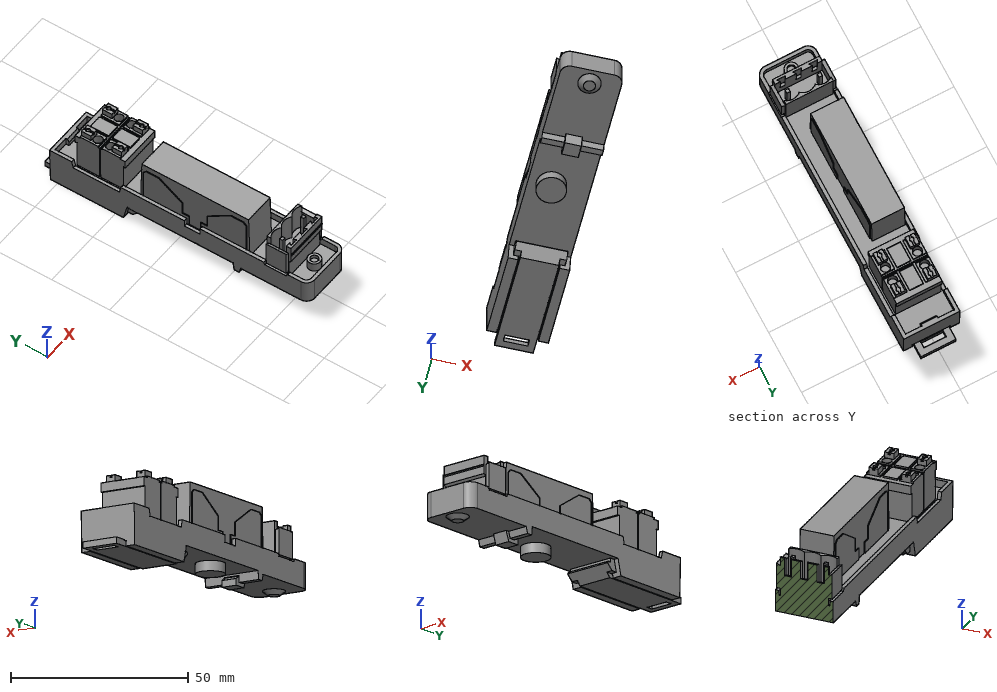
import cadquery as cq


WIDTH = 17.9
HALF_WIDTH = WIDTH / 2
TRAY_LENGTH = 89.64
TRAY_TOP = 12.0
REAR_DRAFT = 0.3
WALL = 1.15
FLOOR_Z = 9.65
MIDDLE_UNDERSIDE = 4.95
FRONT_UNDERSIDE = 4.35
CORNER_RADIUS = 2.8
INNER_CORNER_RADIUS = CORNER_RADIUS - WALL
FOOT_FRONT_BOTTOM = 64.1
FOOT_FRONT_TOP = 62.87

RIB_BOTTOM = 2.4
RIB_TOP_REAR = 26.2
RIB_BOTTOM_REAR = 25.9
RIB_BOTTOM_FRONT = 24.15
RIB_TOP_FRONT = 23.55

TERMINAL_NOTCH_Z = 9.8
TERMINAL_NOTCH_BOTTOM_Y = (65.5, 81.4)
TERMINAL_NOTCH_TOP_Y = (65.05, 81.97)
LATCH_NOTCH_Y = (37.7, 43.0)
LATCH_NOTCH_Z = TERMINAL_NOTCH_Z
CONNECTOR_NOTCH_Z = 11.2
CONNECTOR_NOTCH_BOTTOM_Y = (7.9, 15.3)
CONNECTOR_NOTCH_TOP_Y = (7.4, 15.6)

BUMP_WIDTH = 5.1
BUMP_TOP_DEPTH = 0.5
BUMP_DEPTH = 1.1
BUMP_NOSE_DROP = 1.0

TAB_END = 93.64
TAB_HALF_WIDTH = 5.6
TAB_THICKNESS = 1.85
TAB_OPENING_HALF_WIDTH = 3.55
TAB_BAR = 2.0
SLIDER_GAP = 0.45
SLIDER_GAP_HEIGHT = 1.6
HOOK_HALF_WIDTH = 7.5
HOOK_NECK_Z = 1.35
HOOK_TOE_Y = 63.2
HOOK_NOSE_Y = 60.05
HOOK_NOSE_Z = 3.25
HOOK_TOP_Z = 3.8
HOOK_TOP_FRONT = 60.4
HOOK_TOP_REAR = 61.3

FRONT_HOOK_WIDTH = 4.8
FRONT_HOOK_BOTTOM = 1.3
FRONT_HOOK_ROOT_Y = 22.45
FRONT_HOOK_TOE_Y = 23.55
FRONT_HOOK_NOSE_Y = 27.45
FRONT_HOOK_NOSE_TOP = 3.25
FRONT_HOOK_THROAT_Z = 4.15

BOSS_DIAMETER = 8.6
BOSS_X = -2.25
BOSS_Y = 40.4
BOSS_BOTTOM = 1.95

TERMINAL_HALF_WIDTH = 7.25
TERMINAL_Y = (65.35, 81.37)
TERMINAL_MID_Y = sum(TERMINAL_Y) / 2
TERMINAL_TOP = 21.4
LIP_BOTTOM = 18.75
LIP_OVERHANG = 0.68
BLOCK_GAP = 0.35
PAD_HEIGHT = 0.5
PAD_Y_FROM_MID = 0.65
PAD_LENGTH = 6.3
CENTRE_PAD_WIDTH = 4.4
SIDE_PAD_INNER_X = 2.95
CONTACT_X = 5.1
BUTTON_WIDTH = 2.9
BUTTON_LENGTH = 3.3
BUTTON_TOP = 23.7
BUTTON_SLOT_WIDTH = 0.6
BUTTON_SLOT_DEPTH = 0.6
BUTTON_HOLE_DIAMETER = 1.3
BUTTON_HOLE_FROM_END = 1.25
WIRE_HOLE_DIAMETER = 2.9
WIRE_HOLE_DEPTH = 3.0

RELAY_X = (-7.5, 3.0)
RELAY_TOP = 24.4
RELAY_MID_Y = 40.3
RELAY_TOP_LENGTH = 36.9
RELAY_BOTTOM_LENGTH = 37.8
HOLDER_THICKNESS = 0.28
HOLDER_HALF_LENGTH = 17.8
HOLDER_TOP = 22.5
HOLDER_CHAMFER = 1.0
HOLDER_SHOULDER = 12.5
LATCH_ARM_HALF_WIDTH = 4.3
LATCH_ARM_SLOPE_Z = 17.2
LATCH_ARM_BOTTOM = 13.15
LATCH_TONGUE_HALF_WIDTH = 2.0

CONNECTOR_HALF_WIDTH = 7.5
CONNECTOR_REAR = 15.5
CONNECTOR_FRONT = 7.85
CONNECTOR_TOP = 21.7
CONNECTOR_LIP = 0.65
CONNECTOR_LIP_BOTTOM = 15.6
RIDGE_Z = 18.8
RIDGE = 0.28
END_PLATE_HALF_WIDTH = 8.65
END_PLATE_Y = (8.05, 14.95)
END_PLATE_BOTTOM = 11.8
END_PLATE_TOP = 19.7
END_PLATE_TOP_SLOPE = 0.5
CAVITY_BOTTOM = 13.0
CAVITY_FRONT = 8.8
CUSP_Y = 14.0
SCALLOP_RISE = 1.0
POLE_PITCH = 5.1
POLES = (-1, 0, 1)
KEYWAY_WIDTH = 2.7
KEYWAY_MOUTH_WIDTH = 1.5
KEYWAY_DEPTH = 0.9
PIN_SIZE = 1.1
PIN_Y = 11.9
PIN_TOP = 20.85

SCREW_Y = 4.45
SCREW_HEAD_DIAMETER = 4.2
SCREW_HEAD_TOP = 12.6
SCREW_SOCKET_DIAMETER = 2.6
SCREW_SOCKET_DEPTH = 1.2
SCREW_TIP_Z = 3.1
SCREW_TIP_WIDE_DIAMETER = 6.6
SCREW_TIP_NARROW_DIAMETER = 3.4


def block(x_range, y_range, z_range):
    """Box between the given X, Y and Z limits."""
    low, high = zip(x_range, y_range, z_range)
    size = [b - a for a, b in zip(low, high)]
    return cq.Workplane("XY").box(*size, centered=False).translate(low)


def mirrored(half):
    """Symmetric (low, high) range about zero."""
    return -half, half


def side_profile(points, x_range):
    """Closed (Y, Z) outline extruded along X."""
    start, end = x_range
    return cq.Workplane("YZ").workplane(offset=start).polyline(points).close().extrude(end - start)


def cylinder(diameter, x, y, z_range):
    bottom, top = z_range
    return cq.Workplane("XY", origin=(x, y, bottom)).circle(diameter / 2).extrude(top - bottom)


def wall_notch(bottom_y, top_y, bottom_z):
    """Notch with sloping ends across both side walls."""
    outline = [
        (top_y[0], TRAY_TOP),
        (bottom_y[0], bottom_z),
        (bottom_y[1], bottom_z),
        (top_y[1], TRAY_TOP),
    ]
    return side_profile(outline, mirrored(HALF_WIDTH))


def make_tray():
    outline = [
        (0, FRONT_UNDERSIDE),
        (0, TRAY_TOP),
        (TRAY_LENGTH, TRAY_TOP),
        (TRAY_LENGTH - REAR_DRAFT, 0),
        (FOOT_FRONT_BOTTOM, 0),
        (FOOT_FRONT_TOP, MIDDLE_UNDERSIDE),
        (RIB_TOP_REAR, MIDDLE_UNDERSIDE),
        (RIB_BOTTOM_REAR, RIB_BOTTOM),
        (RIB_BOTTOM_FRONT, RIB_BOTTOM),
        (RIB_TOP_FRONT, FRONT_UNDERSIDE),
    ]
    tray = side_profile(outline, mirrored(HALF_WIDTH))
    tray = tray.edges("|Z").edges("<Y").fillet(CORNER_RADIUS)
    inside = block(mirrored(HALF_WIDTH - WALL), (WALL, TRAY_LENGTH - WALL), (FLOOR_Z, TRAY_TOP))
    inside = inside.edges("|Z").edges("<Y").fillet(INNER_CORNER_RADIUS)
    tray = tray.cut(inside)

    tray = tray.cut(wall_notch(TERMINAL_NOTCH_BOTTOM_Y, TERMINAL_NOTCH_TOP_Y, TERMINAL_NOTCH_Z))
    tray = tray.cut(wall_notch(CONNECTOR_NOTCH_BOTTOM_Y, CONNECTOR_NOTCH_TOP_Y, CONNECTOR_NOTCH_Z))
    tray = tray.cut(block((-HALF_WIDTH, 0), LATCH_NOTCH_Y, (LATCH_NOTCH_Z, TRAY_TOP)))

    inner_rear = TRAY_LENGTH - WALL
    bump = [
        (inner_rear, TRAY_TOP),
        (inner_rear - BUMP_TOP_DEPTH, TRAY_TOP),
        (inner_rear - BUMP_DEPTH, TRAY_TOP - BUMP_NOSE_DROP),
        (inner_rear - BUMP_DEPTH, FLOOR_Z),
        (inner_rear, FLOOR_Z),
    ]
    return tray.union(side_profile(bump, mirrored(BUMP_WIDTH / 2)))


def add_rail_slider(body):
    for side in (-1, 1):
        edges = sorted((side * TAB_HALF_WIDTH, side * (TAB_HALF_WIDTH + SLIDER_GAP)))
        body = body.cut(block(edges, (0, TAB_END), (0, SLIDER_GAP_HEIGHT)))
    tab = block(mirrored(TAB_HALF_WIDTH), (FOOT_FRONT_BOTTOM, TAB_END), (0, TAB_THICKNESS))
    opening = block(mirrored(TAB_OPENING_HALF_WIDTH), (TRAY_LENGTH, TAB_END - TAB_BAR), (0, TAB_THICKNESS))
    body = body.union(tab.cut(opening))

    neck_y = HOOK_TOE_Y - (HOOK_TOE_Y - HOOK_NOSE_Y) * HOOK_NECK_Z / HOOK_NOSE_Z
    hook = [
        (FOOT_FRONT_BOTTOM, HOOK_NECK_Z),
        (neck_y, HOOK_NECK_Z),
        (HOOK_NOSE_Y, HOOK_NOSE_Z),
        (HOOK_TOP_FRONT, HOOK_TOP_Z),
        (HOOK_TOP_REAR, HOOK_TOP_Z),
        (HOOK_TOP_REAR, MIDDLE_UNDERSIDE),
        (FOOT_FRONT_BOTTOM, MIDDLE_UNDERSIDE),
    ]
    neck = [
        (FOOT_FRONT_BOTTOM, 0),
        (HOOK_TOE_Y, 0),
        (neck_y, HOOK_NECK_Z),
        (FOOT_FRONT_BOTTOM, HOOK_NECK_Z),
    ]
    body = body.union(side_profile(hook, mirrored(HOOK_HALF_WIDTH)))
    return body.union(side_profile(neck, mirrored(TAB_HALF_WIDTH)))


def add_front_hook(body):
    hook = [
        (FRONT_HOOK_ROOT_Y, FRONT_UNDERSIDE),
        (FRONT_HOOK_TOE_Y, FRONT_HOOK_BOTTOM),
        (FRONT_HOOK_NOSE_Y, FRONT_HOOK_BOTTOM),
        (FRONT_HOOK_NOSE_Y, FRONT_HOOK_NOSE_TOP),
        (RIB_TOP_REAR, FRONT_HOOK_THROAT_Z),
        (RIB_TOP_REAR, FRONT_UNDERSIDE),
    ]
    return body.union(side_profile(hook, mirrored(FRONT_HOOK_WIDTH / 2)))


def make_terminals():
    terminals = block(mirrored(TERMINAL_HALF_WIDTH), TERMINAL_Y, (FLOOR_Z, TERMINAL_TOP))
    lip_y = (TERMINAL_Y[0] - LIP_OVERHANG, TERMINAL_Y[1] + LIP_OVERHANG)
    terminals = terminals.union(block(mirrored(TERMINAL_HALF_WIDTH), lip_y, (LIP_BOTTOM, TERMINAL_TOP)))
    half_gap = BLOCK_GAP / 2
    gap_y = (TERMINAL_MID_Y - half_gap, TERMINAL_MID_Y + half_gap)
    terminals = terminals.cut(block(mirrored(TERMINAL_HALF_WIDTH), gap_y, (FLOOR_Z, TERMINAL_TOP)))

    rear_face = make_terminal_face()
    terminals = terminals.union(rear_face).union(rear_face.mirror("XZ", (0, TERMINAL_MID_Y, 0)))

    pad_top = TERMINAL_TOP + PAD_HEIGHT
    hole_z = (pad_top - WIRE_HOLE_DEPTH, pad_top)
    hole_from_mid = PAD_Y_FROM_MID + PAD_LENGTH - BUTTON_LENGTH - WIRE_HOLE_DIAMETER / 2
    for x in (-CONTACT_X, CONTACT_X):
        for y in (TERMINAL_MID_Y - hole_from_mid, TERMINAL_MID_Y + hole_from_mid):
            terminals = terminals.cut(cylinder(WIRE_HOLE_DIAMETER, x, y, hole_z))
    return terminals


def make_terminal_face():
    """Raised pads and slotted buttons on top of the rear terminal block."""
    near = TERMINAL_MID_Y + PAD_Y_FROM_MID
    far = near + PAD_LENGTH
    pad_y = (near, far)
    pad_z = (TERMINAL_TOP, TERMINAL_TOP + PAD_HEIGHT)
    button_y = (far - BUTTON_LENGTH, far)
    slot_z = (BUTTON_TOP - BUTTON_SLOT_DEPTH, BUTTON_TOP)
    side_pad = block((SIDE_PAD_INNER_X, TERMINAL_HALF_WIDTH), pad_y, pad_z)

    button = block(mirrored(BUTTON_WIDTH / 2), button_y, (TERMINAL_TOP, BUTTON_TOP))
    button = button.cut(block(mirrored(BUTTON_SLOT_WIDTH / 2), button_y, slot_z))
    button = button.cut(cylinder(BUTTON_HOLE_DIAMETER, 0, far - BUTTON_HOLE_FROM_END, slot_z))

    side_face = side_pad.union(button.translate((CONTACT_X, 0, 0)))
    centre_pad = block(mirrored(CENTRE_PAD_WIDTH / 2), pad_y, pad_z)
    return centre_pad.union(side_face).union(side_face.mirror("YZ"))


def make_relay():
    half_bottom = RELAY_BOTTOM_LENGTH / 2
    half_top = RELAY_TOP_LENGTH / 2
    outline = [
        (RELAY_MID_Y - half_bottom, FLOOR_Z),
        (RELAY_MID_Y - half_top, RELAY_TOP),
        (RELAY_MID_Y + half_top, RELAY_TOP),
        (RELAY_MID_Y + half_bottom, FLOOR_Z),
    ]
    relay = side_profile(outline, RELAY_X)

    half_cheek = [
        (HOLDER_HALF_LENGTH, FLOOR_Z),
        (HOLDER_HALF_LENGTH, HOLDER_TOP - HOLDER_CHAMFER),
        (HOLDER_HALF_LENGTH - HOLDER_CHAMFER, HOLDER_TOP),
        (HOLDER_SHOULDER, HOLDER_TOP),
        (LATCH_ARM_HALF_WIDTH, LATCH_ARM_SLOPE_Z),
        (LATCH_ARM_HALF_WIDTH, LATCH_ARM_BOTTOM),
        (LATCH_TONGUE_HALF_WIDTH, LATCH_ARM_BOTTOM),
        (LATCH_TONGUE_HALF_WIDTH, FLOOR_Z),
    ]
    holder_x = (RELAY_X[0] - HOLDER_THICKNESS, RELAY_X[1] + HOLDER_THICKNESS)
    for direction in (-1, 1):
        cheek = [(RELAY_MID_Y + direction * y, z) for y, z in half_cheek]
        relay = relay.union(side_profile(cheek, holder_x))
    return relay


def make_end_plate():
    """Plate on the +X end of the connector, its top sloping down towards the cavity."""
    front, rear = END_PLATE_Y
    outline = [
        (CONNECTOR_HALF_WIDTH, END_PLATE_BOTTOM),
        (END_PLATE_HALF_WIDTH, END_PLATE_BOTTOM),
        (END_PLATE_HALF_WIDTH, END_PLATE_TOP),
        (CONNECTOR_HALF_WIDTH, END_PLATE_TOP - END_PLATE_TOP_SLOPE),
    ]
    return cq.Workplane("XZ", origin=(0, rear, 0)).polyline(outline).close().extrude(rear - front)


def make_connector():
    body_y = (CONNECTOR_FRONT, CONNECTOR_REAR)
    connector = block(mirrored(CONNECTOR_HALF_WIDTH), body_y, (FLOOR_Z, CONNECTOR_TOP))
    lip_front = CONNECTOR_FRONT - CONNECTOR_LIP
    lip = [
        (CONNECTOR_FRONT, CONNECTOR_LIP_BOTTOM),
        (lip_front, CONNECTOR_LIP_BOTTOM + CONNECTOR_LIP),
        (lip_front, RIDGE_Z - RIDGE),
        (lip_front - RIDGE, RIDGE_Z),
        (lip_front, RIDGE_Z + RIDGE),
        (lip_front, CONNECTOR_TOP),
        (CONNECTOR_FRONT, CONNECTOR_TOP),
    ]
    connector = connector.union(side_profile(lip, mirrored(CONNECTOR_HALF_WIDTH)))
    connector = connector.union(make_end_plate()).union(make_end_plate().mirror("YZ"))

    half_row = len(POLES) * POLE_PITCH / 2
    cavity_height = CONNECTOR_TOP - CAVITY_BOTTOM
    cavity = cq.Workplane("XY", origin=(0, 0, CAVITY_BOTTOM)).moveTo(-half_row, CAVITY_FRONT)
    cavity = cavity.lineTo(-half_row, CUSP_Y)
    for pole in POLES:
        centre = pole * POLE_PITCH
        cavity = cavity.threePointArc((centre, CUSP_Y + SCALLOP_RISE), (centre + POLE_PITCH / 2, CUSP_Y))
    cavity = cavity.lineTo(half_row, CAVITY_FRONT).close().extrude(cavity_height)
    limits = block(mirrored(CONNECTOR_HALF_WIDTH), (0, CONNECTOR_REAR), (CAVITY_BOTTOM, CONNECTOR_TOP))
    open_ends_z = (END_PLATE_TOP - END_PLATE_TOP_SLOPE, CONNECTOR_TOP)
    gap_between_walls = block(mirrored(CONNECTOR_HALF_WIDTH), (CAVITY_FRONT, CUSP_Y), open_ends_z)
    connector = connector.cut(cavity.intersect(limits)).cut(gap_between_walls)

    keyway_bottom = CONNECTOR_LIP_BOTTOM + CONNECTOR_LIP
    for pole in POLES:
        centre = pole * POLE_PITCH
        keyway = [
            (centre - KEYWAY_WIDTH / 2, CAVITY_FRONT - KEYWAY_DEPTH),
            (centre - KEYWAY_MOUTH_WIDTH / 2, CAVITY_FRONT),
            (centre + KEYWAY_MOUTH_WIDTH / 2, CAVITY_FRONT),
            (centre + KEYWAY_WIDTH / 2, CAVITY_FRONT - KEYWAY_DEPTH),
        ]
        groove = cq.Workplane("XY", origin=(0, 0, keyway_bottom)).polyline(keyway).close()
        groove = groove.extrude(CONNECTOR_TOP - keyway_bottom)
        connector = connector.cut(groove)

    half_pin = PIN_SIZE / 2
    pin = block(mirrored(half_pin), (PIN_Y - half_pin, PIN_Y + half_pin), (CAVITY_BOTTOM, PIN_TOP))
    for x in (-POLE_PITCH, POLE_PITCH):
        connector = connector.union(pin.translate((x, 0, 0)))
    return connector


def make_screw():
    head = cylinder(SCREW_HEAD_DIAMETER, 0, SCREW_Y, (FLOOR_Z, SCREW_HEAD_TOP))
    socket_bottom = SCREW_HEAD_TOP - SCREW_SOCKET_DEPTH
    head = head.cut(cylinder(SCREW_SOCKET_DIAMETER, 0, SCREW_Y, (socket_bottom, SCREW_HEAD_TOP)))
    tip = (
        cq.Workplane("XY", origin=(0, SCREW_Y, SCREW_TIP_Z))
        .circle(SCREW_TIP_NARROW_DIAMETER / 2)
        .workplane(offset=FRONT_UNDERSIDE - SCREW_TIP_Z)
        .circle(SCREW_TIP_WIDE_DIAMETER / 2)
        .loft()
    )
    return head, tip


body = make_tray()
body = add_rail_slider(body)
body = add_front_hook(body)
body = body.union(cylinder(BOSS_DIAMETER, BOSS_X, BOSS_Y, (BOSS_BOTTOM, MIDDLE_UNDERSIDE)))
for component in (make_terminals(), make_relay(), make_connector(), *make_screw()):
    body = body.union(component)

result = body